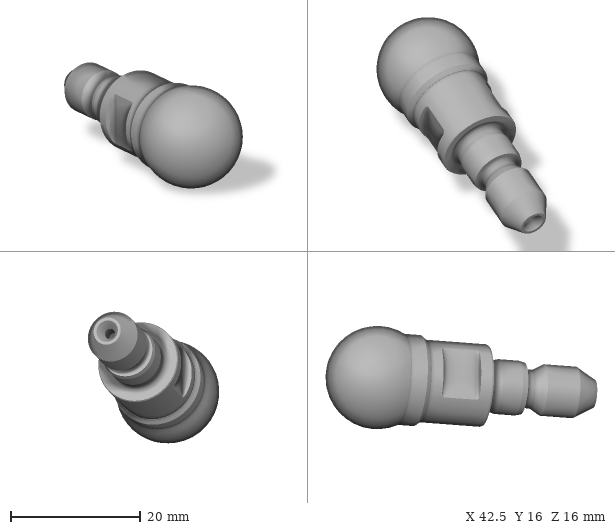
import cadquery as cq
import math

TOTAL_LENGTH = 42.5

NOSE_RADIUS = 4.0
NOSE_CONE_LENGTH = 3.15
NOSE_END_X = 8.3
CONE_ANGLE = 30
CONE_SLOPE = math.tan(math.radians(CONE_ANGLE))
TIP_RADIUS = NOSE_RADIUS - NOSE_CONE_LENGTH * CONE_SLOPE
GROOVE_RADIUS = 6.0 / 2
GROOVE_FILLET = 0.5

COLLAR_START_X = 11.45
COLLAR_FULL_X = 12.32
COLLAR_FULL_END_X = 15.55
COLLAR_RADIUS = 4.25
COLLAR_START_RADIUS = 4.05
RELIEF_START_X = 16.2
RELIEF_RADIUS = 8.1 / 2

SHOULDER_X = 17.45
SHANK_RADIUS = 12.8 / 2
SHANK_CHAMFER_LENGTH = 0.25
SHANK_CHAMFER_DEPTH = 0.13
UNDERCUT_RADIUS = 10.33 / 2
UNDERCUT_DEPTH = 0.2
UNDERCUT_FILLET = 0.5

FLATS_ACROSS = 10.0
FLAT_START_X = 19.55
FLAT_LENGTH = 6.0
FLAT_FILLET = 0.5

CENTRE_MOUTH_RADIUS = 1.7
CENTRE_PILOT_RADIUS = 0.8
CENTRE_DEPTH = 4.05
CENTRE_CONE_LENGTH = (CENTRE_MOUTH_RADIUS - CENTRE_PILOT_RADIUS) / CONE_SLOPE
DRILL_POINT_LENGTH = CENTRE_PILOT_RADIUS * CONE_SLOPE

CAP_START_X = 27.45
CAP_NECK_RADIUS = 7.05
CAP_CHAMFER_LENGTH = 0.75
CAP_CHAMFER_DEPTH = 0.6
BALL_RADIUS = 8.0
BALL_CENTRE_X = TOTAL_LENGTH - BALL_RADIUS


def revolve_about_x(profile):
    """Turn a closed (x, radius) profile around the X axis."""
    return profile.close().revolve(360, (0, 0, 0), (1, 0, 0))


def arc_point(centre_x, centre_radius, radius, degrees):
    """Point at an angle on a circle in the (x, radius) plane."""
    angle = math.radians(degrees)
    return (centre_x + radius * math.cos(angle), centre_radius + radius * math.sin(angle))


def make_turned_pin():
    fillet_level = GROOVE_RADIUS + GROOVE_FILLET
    cone_end_radius = fillet_level - GROOVE_FILLET * math.cos(math.radians(CONE_ANGLE))
    cone_end_x = NOSE_END_X + (NOSE_RADIUS - cone_end_radius) / CONE_SLOPE
    entry_x = cone_end_x + GROOVE_FILLET * math.sin(math.radians(CONE_ANGLE))
    exit_x = COLLAR_START_X - GROOVE_FILLET
    undercut_x = SHOULDER_X + UNDERCUT_DEPTH
    undercut_level = RELIEF_RADIUS + UNDERCUT_FILLET
    profile = (
        cq.Workplane("XY")
        .lineTo(0, TIP_RADIUS)
        .lineTo(NOSE_CONE_LENGTH, NOSE_RADIUS)
        .lineTo(NOSE_END_X, NOSE_RADIUS)
        .lineTo(cone_end_x, cone_end_radius)
        .threePointArc(
            arc_point(entry_x, fillet_level, GROOVE_FILLET, -90 - CONE_ANGLE / 2),
            (entry_x, GROOVE_RADIUS),
        )
        .lineTo(exit_x, GROOVE_RADIUS)
        .threePointArc(
            arc_point(exit_x, fillet_level, GROOVE_FILLET, -45),
            (COLLAR_START_X, fillet_level),
        )
        .lineTo(COLLAR_START_X, COLLAR_START_RADIUS)
        .lineTo(COLLAR_FULL_X, COLLAR_RADIUS)
        .lineTo(COLLAR_FULL_END_X, COLLAR_RADIUS)
        .lineTo(RELIEF_START_X, RELIEF_RADIUS)
        .lineTo(undercut_x - UNDERCUT_FILLET, RELIEF_RADIUS)
        .threePointArc(
            arc_point(undercut_x - UNDERCUT_FILLET, undercut_level, UNDERCUT_FILLET, -45),
            (undercut_x, undercut_level),
        )
        .lineTo(SHOULDER_X, UNDERCUT_RADIUS)
        .lineTo(SHOULDER_X, SHANK_RADIUS - SHANK_CHAMFER_DEPTH)
        .lineTo(SHOULDER_X + SHANK_CHAMFER_LENGTH, SHANK_RADIUS)
        .lineTo(CAP_START_X, SHANK_RADIUS)
        .lineTo(CAP_START_X, 0)
    )
    return revolve_about_x(profile)


def make_flat_cutter(side):
    """Block that mills one spanner flat; side is +1 or -1 along Y."""
    width = 2 * SHANK_RADIUS
    height = SHANK_RADIUS
    floor_edges = "<Y" if side > 0 else ">Y"
    return (
        cq.Workplane("XY")
        .box(FLAT_LENGTH, height, width)
        .faces(floor_edges)
        .edges("|Z")
        .fillet(FLAT_FILLET)
        .translate((FLAT_START_X + FLAT_LENGTH / 2, side * (FLATS_ACROSS + height) / 2, 0))
    )


def make_centre_hole():
    profile = (
        cq.Workplane("XY")
        .lineTo(0, CENTRE_MOUTH_RADIUS)
        .lineTo(CENTRE_CONE_LENGTH, CENTRE_PILOT_RADIUS)
        .lineTo(CENTRE_DEPTH, CENTRE_PILOT_RADIUS)
        .lineTo(CENTRE_DEPTH + DRILL_POINT_LENGTH, 0)
    )
    return revolve_about_x(profile)


def make_pin():
    pin = make_turned_pin().cut(make_centre_hole())
    for side in (-1, 1):
        pin = pin.cut(make_flat_cutter(side))
    return pin


def make_ball_cap():
    neck_end_x = BALL_CENTRE_X - math.sqrt(BALL_RADIUS**2 - CAP_NECK_RADIUS**2)
    profile = (
        cq.Workplane("XY")
        .moveTo(CAP_START_X, 0)
        .lineTo(CAP_START_X, CAP_NECK_RADIUS - CAP_CHAMFER_DEPTH)
        .lineTo(CAP_START_X + CAP_CHAMFER_LENGTH, CAP_NECK_RADIUS)
        .lineTo(neck_end_x, CAP_NECK_RADIUS)
        .threePointArc((BALL_CENTRE_X, BALL_RADIUS), (TOTAL_LENGTH, 0))
    )
    return revolve_about_x(profile)


pin = make_pin()
ball_cap = make_ball_cap()

result = cq.Compound.makeCompound([pin.val(), ball_cap.val()])